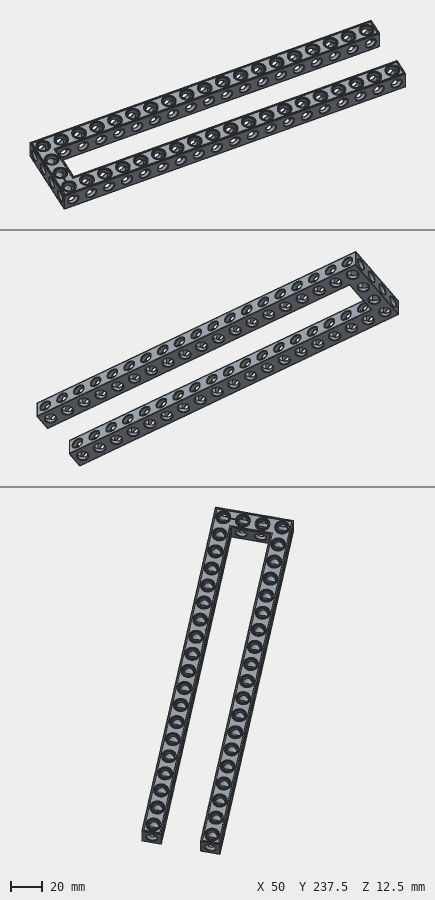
import cadquery as cq

pitch = 12.5
columns = 4
rows = 19
width = columns * pitch
length = rows * pitch
height = pitch
edge_chamfer = 0.25

hole_diameter = 7.0
hole_radius = hole_diameter / 2
mouth_chamfer = 0.4

rim_width = 1.1
tray_depth = 0.2
tray_floor = height - tray_depth

boss_diameter = 9.2
rib_width = 0.5
rib_first_column = 2
rib_last_column = 3

leg_columns = (0, columns - 1)
base_columns = range(1, columns - 1)

along_x = cq.Vector(1, 0, 0)
along_y = cq.Vector(0, 1, 0)
along_z = cq.Vector(0, 0, 1)


def hole_centre(index):
    """Distance of a hole axis from the corner of the part, along any axis."""
    return (index + 0.5) * pitch


def block(x_min, x_max, y_min, y_max, z_min, z_max):
    """Box given by its limits on each axis."""
    size = (x_max - x_min, y_max - y_min, z_max - z_min)
    return cq.Workplane("XY").box(*size, centered=False).translate((x_min, y_min, z_min))


def u_frame():
    """Two long legs joined by a base, with a fine chamfer on every edge."""
    plate = block(0, width, 0, length, 0, height)
    opening = block(pitch, width - pitch, pitch, length, 0, height)
    return plate.cut(opening).edges().chamfer(edge_chamfer)


def vertical_hole_points():
    leg_points = [(hole_centre(column), hole_centre(row)) for column in leg_columns for row in range(rows)]
    base_points = [(hole_centre(column), hole_centre(0)) for column in base_columns]
    return leg_points + base_points


def top_tray():
    """Recess that follows the U, less the bosses and the rib left standing in it."""
    recess = block(rim_width, width - rim_width, rim_width, length - rim_width, tray_floor, height)
    opening_rim = block(
        pitch - rim_width, width - pitch + rim_width, pitch - rim_width, length, tray_floor, height
    )
    bosses = (
        cq.Workplane("XY", origin=(0, 0, tray_floor))
        .pushPoints(vertical_hole_points())
        .circle(boss_diameter / 2)
        .extrude(tray_depth)
    )
    return recess.cut(opening_rim).cut(bosses).cut(boss_rib())


def boss_rib():
    """Thin rib that links the last two bosses of the base."""
    rib_middle = hole_centre(0)
    return block(
        hole_centre(rib_first_column),
        hole_centre(rib_last_column),
        rib_middle - rib_width / 2,
        rib_middle + rib_width / 2,
        tray_floor,
        height,
    )


def drill(x, y, z, direction, depth):
    """Through-hole cutter that starts on one face and chamfers both mouths."""
    start = cq.Vector(x, y, z)
    end = start + direction * depth
    mouth_radius = hole_radius + mouth_chamfer
    bore = cq.Solid.makeCylinder(hole_radius, depth, start, direction)
    near_mouth = cq.Solid.makeCone(mouth_radius, hole_radius, mouth_chamfer, start, direction)
    far_mouth = cq.Solid.makeCone(mouth_radius, hole_radius, mouth_chamfer, end, -direction)
    return [bore, near_mouth, far_mouth]


def hole_cutters():
    cutters = []
    middle = height / 2

    for x, y in vertical_hole_points():
        cutters += drill(x, y, 0, along_z, height)

    cutters += drill(0, hole_centre(0), middle, along_x, width)
    for row in range(1, rows):
        for column in leg_columns:
            cutters += drill(column * pitch, hole_centre(row), middle, along_x, pitch)

    for column in leg_columns:
        cutters += drill(hole_centre(column), 0, middle, along_y, length)
    for column in base_columns:
        cutters += drill(hole_centre(column), 0, middle, along_y, pitch)

    return cutters


beam = u_frame().cut(top_tray()).val()
result = cq.Workplane(beam.cut(*hole_cutters())).solids()